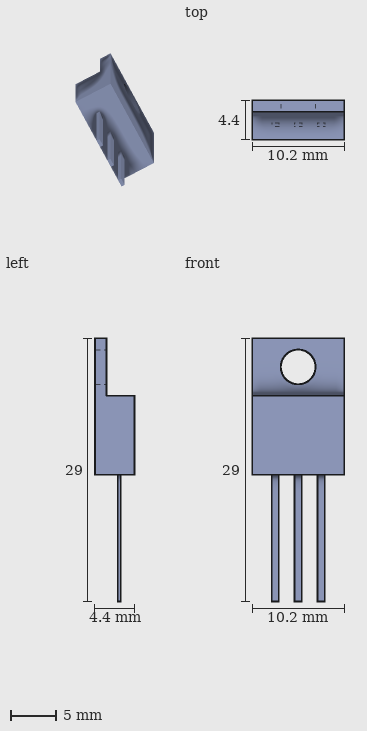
import cadquery as cq

total_height = 29.05
width = 10.17
depth = 4.4

tab_height = 6.33
tab_thickness = 1.3
hole_diameter = 3.8

lead_count = 3
lead_length = 13.97
lead_pitch = 2.53
lead_width = 0.8
lead_thickness = 0.38
lead_setback = 2.7

block_height = total_height - tab_height - lead_length
block_top = lead_length + block_height
hole_height = block_top + tab_height / 2


def box_behind(size_x, size_y, size_z, base_z):
    """Box centred on X, with its back face at Y = 0 and its base at base_z."""
    return cq.Workplane("XY").box(size_x, size_y, size_z, centered=(True, False, False)).translate(
        (0, -size_y, base_z)
    )


def make_housing():
    """Block with a thin mounting tab standing on it, drilled front to back."""
    block = box_behind(width, depth, block_height, lead_length)
    tab = box_behind(width, tab_thickness, tab_height, block_top)
    hole = (
        cq.Workplane("XZ", origin=(0, 0, hole_height))
        .circle(hole_diameter / 2)
        .extrude(tab_thickness)
    )
    return block.union(tab, clean=False).cut(hole, clean=False)


def make_lead(center_x):
    """Straight flat lead whose top end meets the underside of the housing."""
    return (
        cq.Workplane("XY", origin=(center_x, -lead_setback, 0))
        .rect(lead_width, lead_thickness)
        .extrude(lead_length)
    )


housing = make_housing()

leads = []
for index in range(lead_count):
    offset = (index - (lead_count - 1) / 2) * lead_pitch
    leads.append(make_lead(offset))

result = cq.Compound.makeCompound([housing.val(), *[lead.val() for lead in leads]])